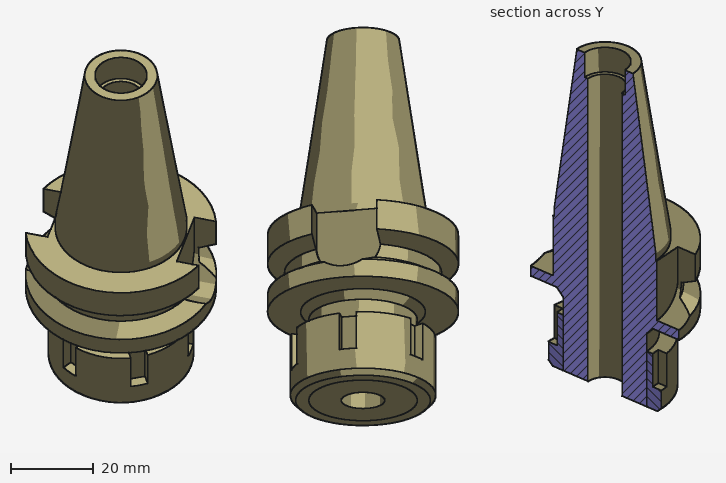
import cadquery as cq


TOTAL_HEIGHT = 93.4
SHANK_TOP_RADIUS = 8.8
SHANK_BASE_RADIUS = 15.9
SHANK_BASE_BAND = 2.0
FLANGE_TOP = 43.0
FLANGE_BOTTOM = 23.0
FLANGE_DIAMETER = 46.0
FLANGE_RADIUS = FLANGE_DIAMETER / 2
V_GROOVE_RADIUS = 19.0
V_GROOVE_FLOOR_WIDTH = 3.5
V_GROOVE_SIDE_HEIGHT = 2.2
V_GROOVE_BOTTOM = 27.5
NECK_RADIUS = 13.1
NECK_CONE_SIZE = 2.0
THROUGH_RADIUS = 5.2
PILOT_RADIUS = 6.3
PILOT_DEPTH = 7.0

KEYWAY_WIDTH = 16.0
KEYWAY_FLOOR = 16.2
KEYWAY_BOTTOM = 26.0

NUT_RADIUS = 17.6
NUT_HEIGHT = 16.0
NUT_CHAMFER = 1.3
SLOT_COUNT = 6
SLOT_WIDTH = 4.2
SLOT_FLOOR = 14.85
SLOT_BOTTOM = 6.5


def revolve_profile(points):
    """Turn a closed (radius, height) outline about the Z axis."""
    return cq.Workplane("XZ").polyline(points).close().revolve(360, (0, 0), (0, 1))


def make_holder():
    """Tapered shank, grooved flange and neck; the neck runs down through the nut to its front face."""
    groove_floor_bottom = V_GROOVE_BOTTOM + V_GROOVE_SIDE_HEIGHT
    groove_floor_top = groove_floor_bottom + V_GROOVE_FLOOR_WIDTH
    groove_top = groove_floor_top + V_GROOVE_SIDE_HEIGHT
    pilot_floor = TOTAL_HEIGHT - PILOT_DEPTH
    holder = revolve_profile([
        (THROUGH_RADIUS, 0),
        (NECK_RADIUS, 0),
        (NECK_RADIUS, FLANGE_BOTTOM - NECK_CONE_SIZE),
        (NECK_RADIUS + NECK_CONE_SIZE, FLANGE_BOTTOM),
        (FLANGE_RADIUS, FLANGE_BOTTOM),
        (FLANGE_RADIUS, V_GROOVE_BOTTOM),
        (V_GROOVE_RADIUS, groove_floor_bottom),
        (V_GROOVE_RADIUS, groove_floor_top),
        (FLANGE_RADIUS, groove_top),
        (FLANGE_RADIUS, FLANGE_TOP),
        (SHANK_BASE_RADIUS, FLANGE_TOP),
        (SHANK_BASE_RADIUS, FLANGE_TOP + SHANK_BASE_BAND),
        (SHANK_TOP_RADIUS, TOTAL_HEIGHT),
        (PILOT_RADIUS, TOTAL_HEIGHT),
        (PILOT_RADIUS, pilot_floor),
        (THROUGH_RADIUS, pilot_floor),
    ])
    for side in (-1, 1):
        holder = holder.cut(make_keyway(side))
    return holder


def make_keyway(side):
    """Keyway with a flat floor and a half-round lower end, open at the flange top and rim."""
    half_width = KEYWAY_WIDTH / 2
    arc_centre = KEYWAY_BOTTOM + half_width
    return (
        cq.Workplane("YZ", origin=(side * KEYWAY_FLOOR, 0, 0))
        .moveTo(-half_width, FLANGE_TOP)
        .lineTo(-half_width, arc_centre)
        .threePointArc((0, KEYWAY_BOTTOM), (half_width, arc_centre))
        .lineTo(half_width, FLANGE_TOP)
        .close()
        .extrude(side * FLANGE_RADIUS)
    )


def make_nut():
    """Ring around the neck with a chamfered front edge and wrench slots open at its rear face."""
    nut = revolve_profile([
        (NECK_RADIUS, 0),
        (NUT_RADIUS - NUT_CHAMFER, 0),
        (NUT_RADIUS, NUT_CHAMFER),
        (NUT_RADIUS, NUT_HEIGHT),
        (NECK_RADIUS, NUT_HEIGHT),
    ])
    slot = cq.Workplane("XY").box(
        NUT_RADIUS, SLOT_WIDTH, NUT_HEIGHT, centered=(False, True, False)
    ).translate((SLOT_FLOOR, 0, SLOT_BOTTOM))
    for index in range(SLOT_COUNT):
        nut = nut.cut(slot.rotate((0, 0, 0), (0, 0, 1), index * 360 / SLOT_COUNT))
    return nut


holder = make_holder()
nut = make_nut()

result = cq.Compound.makeCompound([holder.val(), nut.val()])